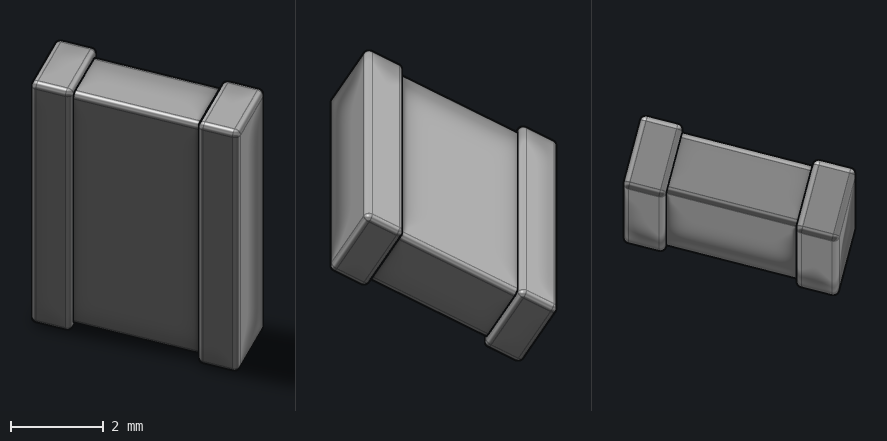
import cadquery as cq

length_x = 4.8
thickness_y = 1.65
height_z = 6.8

terminal_length = 0.95
edge_radius = 0.135
setback = edge_radius


def make_ceramic():
    """Block between the terminals, with its four long edges rounded."""
    return (
        cq.Workplane("XY")
        .box(
            length_x - 2 * terminal_length,
            thickness_y - 2 * setback,
            height_z - 2 * setback,
        )
        .edges("|X")
        .fillet(edge_radius)
    )


def make_terminal(side):
    """End terminal with all edges rounded; side is -1 for the -X end, +1 for the +X end."""
    center_x = side * (length_x - terminal_length) / 2
    return (
        cq.Workplane("XY")
        .box(terminal_length, thickness_y, height_z)
        .edges()
        .fillet(edge_radius)
        .translate((center_x, 0, 0))
    )


ceramic = make_ceramic()
terminals = [make_terminal(side) for side in (-1, 1)]

result = cq.Compound.makeCompound([ceramic.val(), *[terminal.val() for terminal in terminals]])